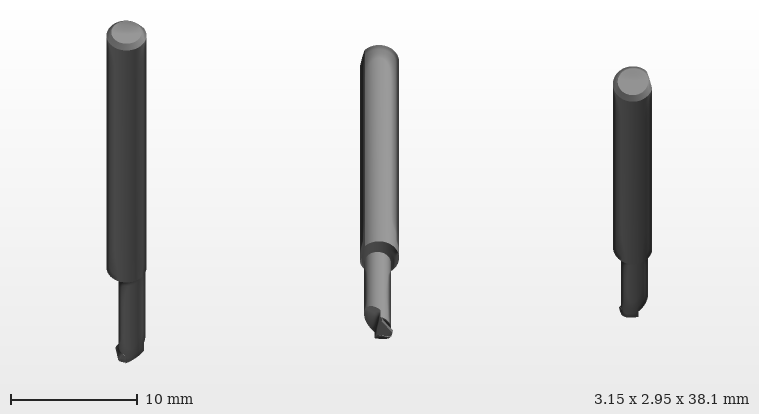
import cadquery as cq

total_length = 38.1
shank_diameter = 3.15
shank_radius = shank_diameter / 2
shank_bottom = 10.17
shank_chamfer = 0.4
shank_depth = 2.95
flat_offset = shank_depth - shank_radius

neck_radius = 1.05
neck_x = shank_radius - neck_radius
neck_right = neck_x + neck_radius

relief_bottom = 2.05
head_height = 1.05
heel_z = 0.1
head_depth = 1.1

cutter_top_x = -0.57
nose_side_x = -1.03
nose_side_z = 0.1
nose_bottom_x = -0.88

side_clearance = 0.9
bottom_clearance = 0.1


def make_shank():
    shank = cq.Workplane("XY").workplane(offset=shank_bottom).circle(shank_radius)
    shank = shank.extrude(total_length - shank_bottom).faces(">Z").chamfer(shank_chamfer)
    beyond_flat = cq.Workplane("XY").box(
        shank_diameter, shank_diameter, total_length, centered=(True, False, False)
    )
    return shank.cut(beyond_flat.translate((0, flat_offset, 0)))


def make_neck():
    neck = cq.Workplane("XY").center(neck_x, 0).circle(neck_radius).extrude(shank_bottom)

    relief = (
        cq.Workplane("YZ")
        .polyline([
            (0, 0),
            (0, relief_bottom),
            (shank_radius, relief_bottom + shank_radius),
            (shank_radius, 0),
        ])
        .close()
        .extrude(shank_diameter, both=True)
    )

    bevel_height = heel_z + neck_radius
    side_profile = (
        cq.Workplane("XZ")
        .polyline([
            (neck_x, heel_z),
            (neck_right, bevel_height),
            (neck_right, shank_bottom),
            (neck_x - neck_radius, shank_bottom),
            (neck_x - neck_radius, head_height),
            (neck_x, head_height),
        ])
        .close()
        .extrude(shank_diameter, both=True)
    )
    return neck.cut(relief).intersect(side_profile)


def make_head():
    rake_outline = [
        (neck_x, head_height),
        (cutter_top_x, head_height),
        (nose_side_x, nose_side_z),
        (nose_bottom_x, 0),
        (neck_x, heel_z),
    ]
    back_outline = [
        (neck_x, head_height),
        (cutter_top_x + side_clearance, head_height),
        (nose_side_x + side_clearance, nose_side_z + bottom_clearance),
        (nose_bottom_x + side_clearance, bottom_clearance),
        (neck_x, heel_z + bottom_clearance),
    ]
    return (
        cq.Workplane("XZ")
        .polyline(rake_outline).close()
        .workplane(offset=head_depth)
        .polyline(back_outline).close()
        .loft(ruled=True)
    )


result = make_shank().union(make_neck()).union(make_head())